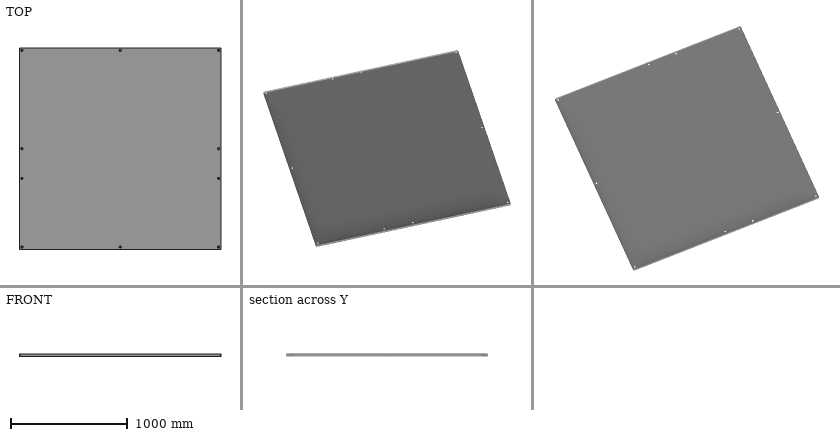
import cadquery as cq
import math

SIDE = 1727.2
HEIGHT = 22.23
SHEET = 3.175
INNER_BEND_RADIUS = 0.635
BEND_RADIUS = INNER_BEND_RADIUS + SHEET
CORNER_SETBACK = 5.35
FLANGE_LENGTH = SIDE - 2 * CORNER_SETBACK
PANEL_SIDE = SIDE - 2 * BEND_RADIUS

HOLE_DIAMETER = 14.3
HOLE_INSET = 22.225
EXTRA_HOLE_Y = -254.0


def make_panel():
    """Flat area between the bend lines, its top face at z = HEIGHT."""
    return (
        cq.Workplane("XY")
        .workplane(offset=HEIGHT - SHEET)
        .rect(PANEL_SIDE, PANEL_SIDE)
        .extrude(SHEET)
    )


def make_flange():
    """Bend and downturned flange along the -Y side."""
    outer_y = -SIDE / 2
    inner_y = outer_y + SHEET
    bend_y = outer_y + BEND_RADIUS
    bend_z = HEIGHT - BEND_RADIUS
    arc_middle = math.sqrt(0.5)
    return (
        cq.Workplane("YZ")
        .workplane(offset=-FLANGE_LENGTH / 2)
        .moveTo(outer_y, 0)
        .lineTo(outer_y, bend_z)
        .threePointArc(
            (bend_y - BEND_RADIUS * arc_middle, bend_z + BEND_RADIUS * arc_middle),
            (bend_y, HEIGHT),
        )
        .lineTo(bend_y, HEIGHT - SHEET)
        .threePointArc(
            (bend_y - INNER_BEND_RADIUS * arc_middle, bend_z + INNER_BEND_RADIUS * arc_middle),
            (inner_y, bend_z),
        )
        .lineTo(inner_y, 0)
        .close()
        .extrude(FLANGE_LENGTH)
    )


def hole_positions():
    """Corners, side midpoints and one extra hole on each X side."""
    reach = SIDE / 2 - HOLE_INSET
    positions = [(0, -reach), (0, reach)]
    for x in (-reach, reach):
        for y in (-reach, EXTRA_HOLE_Y, 0, reach):
            positions.append((x, y))
    return positions


def make_hole_cutters():
    return (
        cq.Workplane("XY")
        .pushPoints(hole_positions())
        .circle(HOLE_DIAMETER / 2)
        .extrude(HEIGHT)
    )


pan = make_panel()
flange = make_flange()
for quarter_turn in range(4):
    turned_flange = flange.rotate((0, 0, 0), (0, 0, 1), 90 * quarter_turn)
    pan = pan.union(turned_flange)

result = pan.cut(make_hole_cutters())